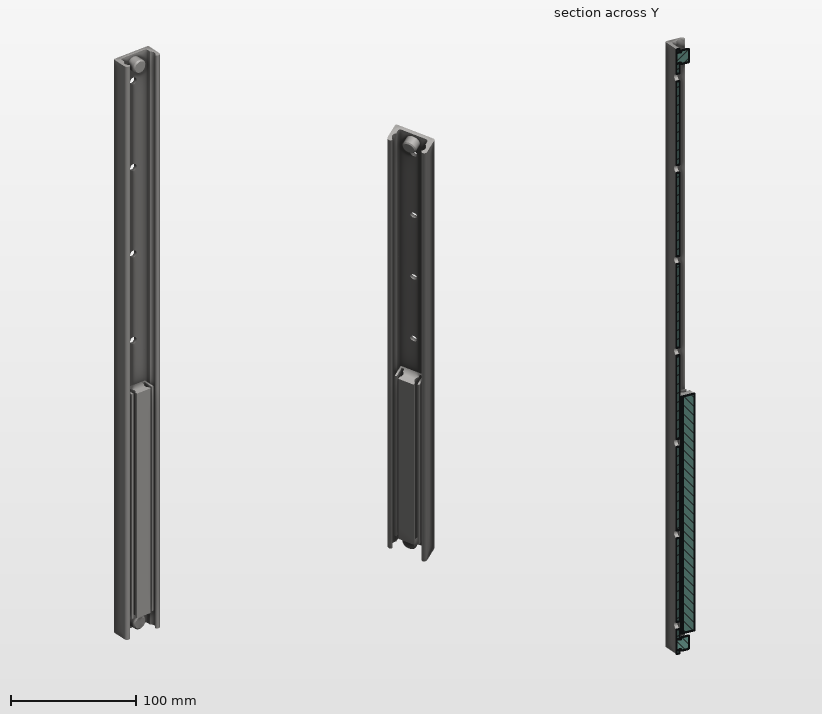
import cadquery as cq

rail_length = 530.0
rail_width = 35.0
rail_depth = 17.0

web_thickness = 3.0
arm_thickness = 4.5
back_corner_radius = 1.3
inner_corner_radius = 2.0
outer_tip_radius = 2.5
inner_tip_radius = 1.5

raceway_radius = 4.0
raceway_x = 11.5
rail_raceway_depth = 1.85
slider_raceway_depth = 1.5

hole_count = 7
hole_end_distance = 25.0
hole_diameter = 6.5
hole_rim_diameter = 7.0

stop_shank_diameter = 9.0
stop_head_diameter = 12.0
stop_tip_diameter = 10.0
stop_end_distance = 8.0
stop_head_start = 4.0
stop_head_end = 12.0

slider_length = 208.0
slider_width = 14.0
slider_centre_z = -144.0
cage_thickness = 1.5
cage_width = 21.5
cage_start = 4.0
cage_end = 15.5

channel_half_width = rail_width / 2 - arm_thickness
hole_pitch = (rail_length - 2 * hole_end_distance) / (hole_count - 1)
hole_heights = [(index - (hole_count - 1) / 2) * hole_pitch for index in range(hole_count)]
stop_height = rail_length / 2 - stop_end_distance
stop_heights = [-stop_height, stop_height]
slider_start = cage_start + cage_thickness


def bar(x_start, x_end, width, length, centre_z):
    """Box along Z, centred in Y, between two X positions."""
    box = cq.Workplane("XY").box(x_end - x_start, width, length, centered=(False, True, True))
    return box.translate((x_start, 0, centre_z))


def x_cylinder(diameter, x_start, x_end, z):
    """Cylinder along X at Y = 0 and the given height."""
    disc = cq.Workplane("YZ", origin=(x_start, 0, z)).circle(diameter / 2)
    return disc.extrude(x_end - x_start)


def raceway_pair(y, length, centre_z):
    """Two rods along Z, at +y and -y, that cut a pair of raceways."""
    centres = cq.Workplane("XY").pushPoints([(raceway_x, y), (raceway_x, -y)])
    rods = centres.circle(raceway_radius).extrude(length / 2, both=True)
    return rods.translate((0, 0, centre_z))


def make_channel():
    """C-shaped bar with rounded corners and arm tips, before grooves and holes."""
    body = bar(0, rail_depth, rail_width, rail_length, 0)
    body = body.edges("|Z and <X").fillet(back_corner_radius)
    body = body.edges("|Z and >X").fillet(outer_tip_radius)

    opening = bar(web_thickness, rail_depth, 2 * channel_half_width, rail_length, 0)
    body = body.cut(opening.edges("|Z and <X").fillet(inner_corner_radius))

    mouth_half_width = channel_half_width + inner_tip_radius / 2
    mouth = cq.selectors.BoxSelector(
        (rail_depth / 2, -mouth_half_width, -rail_length),
        (2 * rail_depth, mouth_half_width, rail_length),
    )
    return body.edges("|Z").edges(mouth).fillet(inner_tip_radius)


def make_rail():
    body = make_channel()
    raceway_y = channel_half_width + rail_raceway_depth - raceway_radius
    body = body.cut(raceway_pair(raceway_y, rail_length, 0))
    for z in hole_heights:
        body = body.cut(x_cylinder(hole_diameter, 0, web_thickness, z))
    body = body.faces("<X").edges("%CIRCLE").chamfer((hole_rim_diameter - hole_diameter) / 2)
    for z in stop_heights:
        body = body.cut(x_cylinder(stop_shank_diameter, 0, web_thickness, z))
    return body


def make_end_stop(z):
    shank = x_cylinder(stop_shank_diameter, 0, stop_head_start, z)
    head = x_cylinder(stop_head_diameter, stop_head_start, stop_head_end, z)
    tip_chamfer = (stop_head_diameter - stop_tip_diameter) / 2
    return shank.union(head.faces(">X").chamfer(tip_chamfer))


def make_slider():
    body = bar(slider_start, rail_depth, slider_width, slider_length, slider_centre_z)
    raceway_y = slider_width / 2 - slider_raceway_depth + raceway_radius
    return body.cut(raceway_pair(raceway_y, slider_length, slider_centre_z))


def make_cage():
    """Channel of thin sheet around the back and the sides of the slider."""
    outside = bar(cage_start, cage_end, cage_width, slider_length, slider_centre_z)
    inside_width = cage_width - 2 * cage_thickness
    return outside.cut(bar(slider_start, cage_end, inside_width, slider_length, slider_centre_z))


rail = make_rail()
slider = make_slider()
cage = make_cage()
end_stops = [make_end_stop(z) for z in stop_heights]

result = cq.Compound.makeCompound(
    [rail.val(), slider.val(), cage.val(), *[stop.val() for stop in end_stops]]
)